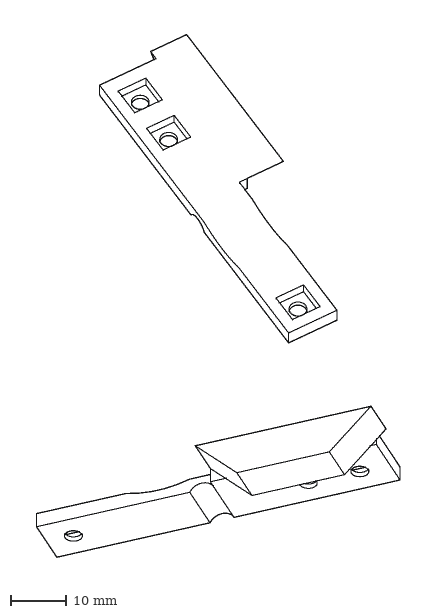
import cadquery as cq

length = 68.7
depth = 19.6
height = 8.1
plate_thickness = 2.95
plate_left = 1.9
arm_width = 10.25

block_top_length = 34.2
block_width = 7.6
block_front = depth - block_width
block_bottom = plate_thickness - height

pocket_side = 5.85
pocket_depth = 2.0
hole_diameter = 3.2
hole_positions = [(x, arm_width / 2) for x in (7.75, 17.8, 63.5)]

dip_start = 38.9
dip_width = 12.4
dip_depth = 0.9
groove_center = 36.55
groove_width = 4.7
groove_height = 1.45


def make_plate():
    """Arm along the front, widened on the left up to the block."""
    arm = cq.Workplane("XY").box(
        length - plate_left, arm_width, plate_thickness, centered=False
    )
    wide_part = cq.Workplane("XY").box(
        block_top_length - plate_left, block_front, plate_thickness, centered=False
    )
    return arm.union(wide_part).translate((plate_left, 0, 0))


def make_block():
    """Trapezoid whose ends slope inward at 45 degrees from the top face."""
    return (
        cq.Workplane("XZ", origin=(0, depth, 0))
        .moveTo(0, plate_thickness)
        .lineTo(block_top_length, plate_thickness)
        .lineTo(block_top_length - height, block_bottom)
        .lineTo(height, block_bottom)
        .close()
        .extrude(block_width)
    )


def arc_cutter(center_x, base_z, chord, rise):
    """Circular segment across the arm; a negative rise bulges downward."""
    return (
        cq.Workplane("XZ")
        .moveTo(center_x - chord / 2, base_z)
        .threePointArc((center_x, base_z + rise), (center_x + chord / 2, base_z))
        .close()
        .extrude(-arm_width)
    )


def make_pockets():
    """Square recesses in the top face, each with a round hole below."""
    recesses = (
        cq.Workplane("XY", origin=(0, 0, plate_thickness))
        .pushPoints(hole_positions)
        .rect(pocket_side, pocket_side)
        .extrude(-pocket_depth)
    )
    holes = (
        cq.Workplane("XY")
        .pushPoints(hole_positions)
        .circle(hole_diameter / 2)
        .extrude(plate_thickness)
    )
    return recesses.union(holes)


dip = arc_cutter(dip_start + dip_width / 2, plate_thickness, dip_width, -dip_depth)
groove = arc_cutter(groove_center, 0, groove_width, groove_height)

result = make_plate().union(make_block()).cut(dip).cut(groove).cut(make_pockets())